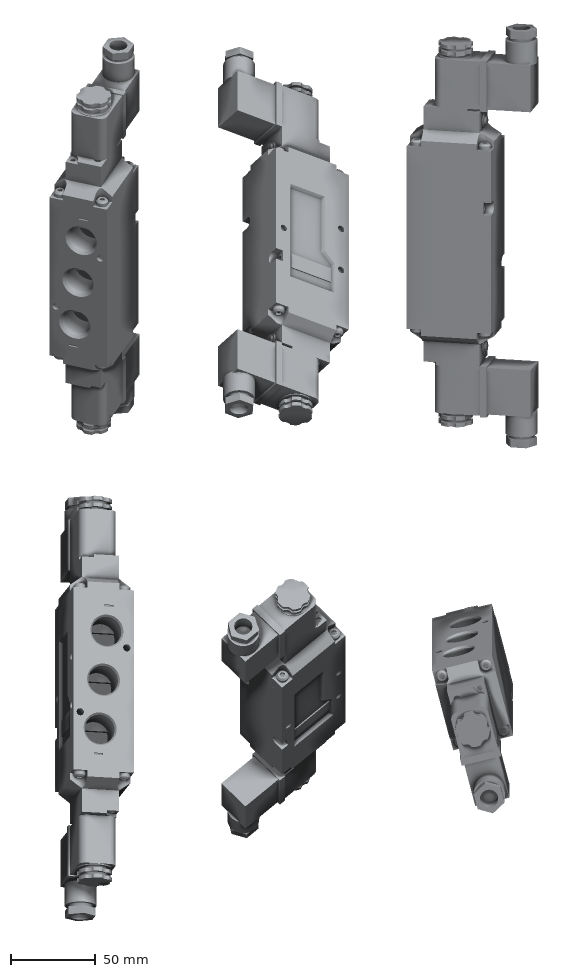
import cadquery as cq
import math


HEX_SIDES = 6
HALF_TURN = 180

body_width = 36.5
body_depth = 51.0
body_half_height = 44.8
half_width = body_width / 2
half_depth = body_depth / 2

port_pitch = 30.0
port_sideways_step = 2.0
port_radius = 9.0
port_mouth_radius = 10.0
port_bevel_depth = 1.3
port_depth = 17.8
port_slot_height = 7.0
port_slot_depth = 2.5

mount_x = 14.0
mount_z = 20.4
mount_radius = 2.16
nut_slot_radius = 3.8
nut_slot_depth = 4.8

label_top = 33.5
label_bottom = -33.0
label_back = 15.5
label_front_narrow = -8.7
label_front_wide = -15.5
label_slant_top = -5.5
label_slant_bottom = -12.2
label_depth = 2.0
label_wall_run = 1.65
pad_top = -15.3
pad_bottom = -25.2
pad_height = 0.8
side_hole_radius = 2.16
side_hole_depth = 2.5
side_hole_places = [(-20.0, 14.8), (-20.0, -14.8), (20.0, 0)]

cap_edge_z = 59.5
cap_top_z = 64.7
cap_top_half_width = 11.2
cap_top_half_depth = 17.0
pocket_floor_z = 55.8
pocket_size = 8.7
pocket_radius = 3.8
screw_radius = 3.5
screw_height = 3.3
screw_chamfer = 1.0
socket_flats = 3.0
socket_depth = 1.5
pry_notch_left = 0.3
pry_notch_width = 5.5
pry_notch_height = 1.3
pry_notch_depth = 1.0

block_half_width = cap_top_half_width
block_half_depth = 16.8
block_top_z = 79.0
block_notch_size = 7.5
block_notch_depth = 1.8
block_socket_inset = 3.3
locating_hole_x = 6.5
locating_hole_y = -10.5
locating_hole_radius = 2.3
locating_hole_depth = 2.5
override_z = 69.0
override_boss_radius = 4.0
override_boss_height = 0.9
override_button_radius = 2.8
override_button_height = 2.3

coil_half_width = block_half_width
coil_front = -11.0
coil_corner_radius = 4.5
coil_top_z = 108.2
gasket_front = 17.3
gasket_back = 21.5
gasket_half_width = 12.0
gasket_overhang = 1.0
gasket_bottom_z = block_top_z - gasket_overhang
gasket_rise = 0.8
gasket_top_z = coil_top_z + gasket_rise
plug_back = 47.5
plug_half_width = 10.5
plug_top_z = 107.5

gland_y = 39.7
collar_radius = 9.5
collar_bottom_z = 106.5
collar_top_z = 120.5
gland_neck_radius = 7.5
gland_hex_bottom_z = 122.5
gland_hex_top_z = 127.3
gland_hex_flats = 16.3
gland_bore_radius = 5.3
gland_bore_depth = 10.2

nut_radius = 10.2
nut_neck_radius = 8.0
nut_flange_height = 0.5
nut_disc_thickness = 2.3
nut_lower_disc_z = 110.2
nut_upper_disc_z = 114.3
scallop_count = 6
scallop_radius = 3.8
scallop_centre_radius = 12.7


def box_between(x0, x1, y0, y1, z0, z1):
    """Box between two opposite corners."""
    return cq.Workplane("XY").box(x1 - x0, y1 - y0, z1 - z0, centered=False).translate((x0, y0, z0))


def rod_up(x, y, z, radius, height):
    """Cylinder that rises along +Z from (x, y, z)."""
    return cq.Workplane("XY").circle(radius).extrude(height).translate((x, y, z))


def rod_back(x, y, z, radius, length):
    """Cylinder that runs along +Y from (x, y, z)."""
    return cq.Workplane("XZ").circle(radius).extrude(-length).translate((x, y, z))


def at_far_end(solid):
    """The matching shape at the -Z end."""
    return solid.rotate((0, 0, 0), (0, 1, 0), HALF_TURN)


def port_cut(x, z):
    """Bore with a bevelled mouth and a cross slot in its floor."""
    bore = rod_back(x, -half_depth, z, port_radius, port_depth)
    mouth = cq.Workplane("XY").add(
        cq.Solid.makeCone(
            port_mouth_radius, port_radius, port_bevel_depth,
            cq.Vector(x, -half_depth, z), cq.Vector(0, 1, 0),
        )
    )
    floor_y = port_depth - half_depth
    slot = box_between(
        x - port_radius, x + port_radius,
        floor_y, floor_y + port_slot_depth,
        z - port_slot_height / 2, z + port_slot_height / 2,
    )
    slot = slot.intersect(rod_back(x, floor_y, z, port_radius, port_slot_depth))
    return bore.union(mouth).union(slot)


def mount_cut():
    """Through hole and nut slot on the +X side."""
    slot_floor = half_depth - nut_slot_depth
    hole = rod_back(mount_x, -half_depth, mount_z, mount_radius, body_depth)
    round_end = rod_back(mount_x, slot_floor, mount_z, nut_slot_radius, nut_slot_depth)
    open_end = box_between(
        mount_x, half_width,
        slot_floor, half_depth,
        mount_z - nut_slot_radius, mount_z + nut_slot_radius,
    )
    return hole.union(round_end).union(open_end)


def label_recess():
    """Shallow recess with sloping walls and a raised pad left on its floor."""
    outline = [
        (label_back, label_top),
        (label_front_narrow, label_top),
        (label_front_narrow, label_slant_top),
        (label_front_wide, label_slant_bottom),
        (label_front_wide, label_bottom),
        (label_back, label_bottom),
    ]
    wall_angle = math.degrees(math.atan2(label_wall_run, label_depth))
    recess = cq.Workplane("YZ").polyline(outline).close().extrude(label_depth, taper=wall_angle)
    recess = recess.translate((-half_width, 0, 0))
    floor_x = label_depth - half_width
    pad = box_between(
        floor_x - pad_height, floor_x,
        label_front_wide + label_wall_run, label_back - label_wall_run,
        pad_bottom, pad_top,
    )
    return recess.cut(pad)


def make_body():
    body = cq.Workplane("XY").box(body_width, body_depth, 2 * body_half_height)
    for step in (-1, 0, 1):
        body = body.cut(port_cut(step * port_sideways_step, step * port_pitch))
    body = body.cut(mount_cut()).cut(at_far_end(mount_cut()))
    body = body.cut(label_recess())
    side_holes = cq.Workplane("YZ").pushPoints(side_hole_places).circle(side_hole_radius)
    return body.cut(side_holes.extrude(side_hole_depth).translate((-half_width, 0, 0)))


def sloped_prism(plane, half_base, half_top, half_length):
    """Prism with upright sides that slope inward above the cap edge."""
    outline = [
        (-half_base, body_half_height),
        (half_base, body_half_height),
        (half_base, cap_edge_z),
        (half_top, cap_top_z),
        (-half_top, cap_top_z),
        (-half_base, cap_edge_z),
    ]
    return cq.Workplane(plane).polyline(outline).close().extrude(half_length, both=True)


def hex_socket(x, y, top_z):
    """Hexagonal screw socket sunk below top_z."""
    socket = cq.Workplane("XY").polygon(HEX_SIDES, socket_flats, circumscribed=True).extrude(-socket_depth)
    return socket.translate((x, y, top_z))


def corner_pocket(side_x, side_y):
    """Screw pocket open to two outer faces, with the screw head standing on its floor."""
    height = cap_top_z - pocket_floor_z
    pocket = cq.Workplane("XY").rect(2 * pocket_size, 2 * pocket_size).extrude(height)
    pocket = pocket.edges("|Z").fillet(pocket_radius)
    pocket = pocket.translate((side_x * half_width, side_y * half_depth, pocket_floor_z))
    inset = pocket_size - pocket_radius
    screw_x = side_x * (half_width - inset)
    screw_y = side_y * (half_depth - inset)
    screw = rod_up(screw_x, screw_y, pocket_floor_z, screw_radius, screw_height)
    screw = screw.faces(">Z").chamfer(screw_chamfer)
    screw = screw.cut(hex_socket(screw_x, screw_y, pocket_floor_z + screw_height))
    return pocket.cut(screw)


def make_cap():
    across = sloped_prism("XZ", half_width, cap_top_half_width, half_depth)
    along = sloped_prism("YZ", half_depth, cap_top_half_depth, half_width)
    cap = across.intersect(along)
    for side_x in (-1, 1):
        for side_y in (-1, 1):
            cap = cap.cut(corner_pocket(side_x, side_y))
    pry_notch = box_between(
        pry_notch_left, pry_notch_left + pry_notch_width,
        -half_depth, pry_notch_depth - half_depth,
        body_half_height, body_half_height + pry_notch_height,
    )
    return cap.cut(pry_notch)


def make_pilot_block():
    block = box_between(
        -block_half_width, block_half_width,
        -block_half_depth, block_half_depth,
        cap_top_z, block_top_z,
    )
    notch_floor_z = block_top_z - block_notch_depth
    socket_x = block_half_width - block_socket_inset
    socket_y = block_half_depth - block_socket_inset
    for side in (-1, 1):
        notch = rod_up(
            side * block_half_width, side * block_half_depth, notch_floor_z,
            block_notch_size, block_notch_depth,
        )
        block = block.cut(notch).cut(hex_socket(side * socket_x, side * socket_y, notch_floor_z))
    block = block.cut(
        rod_up(
            locating_hole_x, locating_hole_y, block_top_z - locating_hole_depth,
            locating_hole_radius, locating_hole_depth,
        )
    )
    boss = rod_back(0, block_half_depth, override_z, override_boss_radius, override_boss_height)
    button = rod_back(0, block_half_depth, override_z, override_button_radius, override_button_height)
    return block.union(boss).union(button)


def retaining_nut():
    """Flange, neck and two scalloped discs."""
    flange = rod_up(0, 0, coil_top_z, nut_radius, nut_flange_height)
    neck = rod_up(0, 0, coil_top_z, nut_neck_radius, nut_upper_disc_z - coil_top_z)
    disc = rod_up(0, 0, 0, nut_radius, nut_disc_thickness)
    scallops = (
        cq.Workplane("XY")
        .polarArray(scallop_centre_radius, 0, 360, scallop_count)
        .circle(scallop_radius)
        .extrude(nut_disc_thickness)
    )
    disc = disc.cut(scallops)
    nut = flange.union(neck)
    for disc_z in (nut_lower_disc_z, nut_upper_disc_z):
        nut = nut.union(disc.translate((0, 0, disc_z)))
    return nut


def cable_gland():
    """Round collar, neck and hexagon with a blind cable bore."""
    collar = rod_up(0, gland_y, collar_bottom_z, collar_radius, collar_top_z - collar_bottom_z)
    neck = rod_up(0, gland_y, collar_top_z, gland_neck_radius, gland_hex_bottom_z - collar_top_z)
    hexagon = (
        cq.Workplane("XY")
        .polygon(HEX_SIDES, gland_hex_flats, circumscribed=True)
        .extrude(gland_hex_top_z - gland_hex_bottom_z)
        .translate((0, gland_y, gland_hex_bottom_z))
    )
    bore = rod_up(0, gland_y, gland_hex_top_z - gland_bore_depth, gland_bore_radius, gland_bore_depth)
    return collar.union(neck).union(hexagon).cut(bore)


def make_solenoid():
    coil = box_between(
        -coil_half_width, coil_half_width, coil_front, gasket_front, block_top_z, coil_top_z
    )
    coil = coil.edges("|Z and <Y").fillet(coil_corner_radius)
    gasket = box_between(
        -gasket_half_width, gasket_half_width, gasket_front, gasket_back, gasket_bottom_z, gasket_top_z
    )
    plug = box_between(
        -plug_half_width, plug_half_width, gasket_back, plug_back, block_top_z, plug_top_z
    )
    return coil.union(gasket).union(plug).union(retaining_nut()).union(cable_gland())


body = make_body()
end_solids = []
for make_part in (make_cap, make_pilot_block, make_solenoid):
    part = make_part()
    end_solids += [part.val(), at_far_end(part).val()]

result = cq.Compound.makeCompound([body.val(), *end_solids])